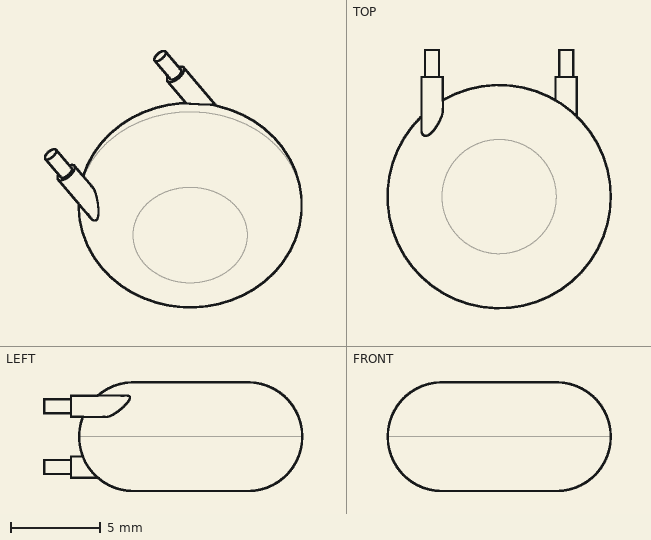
import cadquery as cq
import math

disc_diameter = 12.5
disc_height = 6.1
rim_radius = disc_height / 2
disc_radius = disc_diameter / 2
flat_radius = disc_radius - rim_radius
rim_offset = rim_radius * math.cos(math.radians(45))

lead_pitch = 7.5
lead_height_offset = 1.7
sleeve_diameter = 1.2
wire_diameter = 0.8
lead_end_y = 8.2
bare_wire_length = 1.5
sleeve_end_y = lead_end_y - bare_wire_length


def make_disc():
    """Disc revolved about Z; the rim is two quarter arcs meeting at the equator."""
    return (
        cq.Workplane("XZ")
        .moveTo(0, -rim_radius)
        .lineTo(flat_radius, -rim_radius)
        .threePointArc((flat_radius + rim_offset, -rim_offset), (disc_radius, 0))
        .threePointArc((flat_radius + rim_offset, rim_offset), (flat_radius, rim_radius))
        .lineTo(0, rim_radius)
        .close()
        .revolve(360, (0, 0, 0), (0, 1, 0))
    )


def make_rod(x, z, diameter, end_y):
    """Round rod along +Y, from the disc's mid-plane to end_y."""
    return cq.Workplane("XZ").center(x, z).circle(diameter / 2).extrude(-end_y)


def make_lead(x, z, disc):
    """Sleeved wire with a bare tip, its root trimmed to sit on the disc surface."""
    sleeve = make_rod(x, z, sleeve_diameter, sleeve_end_y)
    wire = make_rod(x, z, wire_diameter, lead_end_y)
    return sleeve.union(wire).cut(disc)


disc = make_disc()

leads = []
for side in (-1, 1):
    lead = make_lead(side * lead_pitch / 2, -side * lead_height_offset, disc)
    leads.append(lead.solids().val())

result = cq.Compound.makeCompound([disc.val(), *leads])